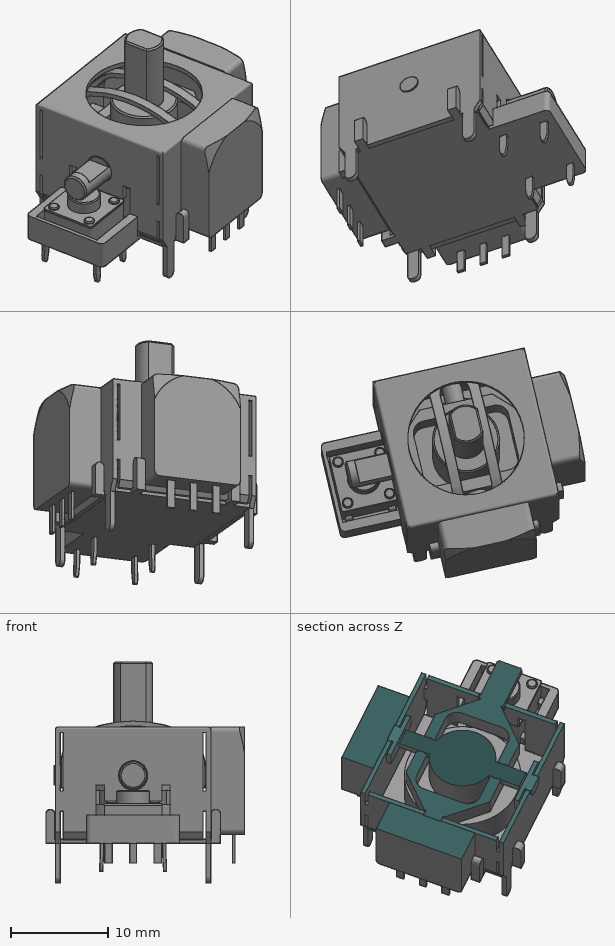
import cadquery as cq
import math


half = 8.0
wall = 0.5
inner = half - wall
shell_top = 12.0
axis_z = 7.0
floor_t = 0.45

edge_round = 0.27
opening_d = 12.0
relief_low, relief_high = 7.2, inner
upper_slit = (5.4, 11.4)
lower_slit = (0.0, 3.3)
bevel_z = 1.15
leg_y_out, leg_w = 7.3, 1.27
leg_bottom = -4.1
window_half = 3.8
window_top = 4.36
notch_top = 6.02
tab_half = 2.96

boss_d, boss_top = 12.0, 4.0
clip_gap = 0.05
clip_in, clip_out = half + clip_gap, 9.0
clip_near, clip_far = 4.8, 5.75
clip_top = 3.5
tray_half, tray_end, tray_top = 4.8, 14.3, 2.9
tray_corner = 0.5
tray_end_wall = 0.4
sensor_half = 4.8
sensor_end = 11.5
sensor_bottom = 0.9
sensor_round = 0.55
sensor_cone_d, sensor_face_d = 13.0, 10.5
sensor_cone_depth = 0.47
pin_w, middle_pin_w = 0.8, 0.72
pin_t, pin_pitch = 0.27, 2.53
pin_x, pin_bottom = 10.23, -2.03

stick_top, stick_d, stick_flat = 18.7, 4.0, 3.0
stick_chamfer = 0.17
collar_d, collar_top = 6.9, 11.3
collar_chamfer = 0.17
cross_pin_d, cross_pin_half = 1.98, 6.75

arch_half_y, arch_slot_half_y = 2.6, 1.55
arch_t = 0.5
arch_crown_z, arch_crown_r, arch_crown_x = 12.6, 13.5, 4.8
arch_end_x, arch_shoulder_z, arch_bottom = 7.4, 8.4, 5.73
arch_slot_x, arch_slot_round = 6.45, 1.4
stub_d, stub_proud = 2.0, 0.15

rocker_x, rocker_y = 4.72, 7.4
rocker_bottom, rocker_top = 5.45, 8.55
rocker_corner = 3.56
rocker_slot = (7.0, 10.04)
rocker_slot_round = 1.3
arm_d, arm_hole_d = 2.8, 3.0
arm_end, arm_chamfer = 12.5, 0.17
arm_flat_z, arm_flat_y, arm_head_y = 7.71, 8.07, 11.52

switch_y = -10.8
switch_size, switch_body_top, switch_plate_top = 6.0, 3.9, 4.13
plate_lip = 0.03
switch_corner = 0.18
rivet_offset, rivet_d, rivet_top, rivet_chamfer = 2.22, 1.1, 4.35, 0.12
button_d, button_top, button_chamfer = 3.4, 5.45, 0.12
lead_in, lead_t, lead_w = 3.05, 0.35, 0.76
lead_y = 2.3
lead_top, lead_bottom = 1.5, -2.9
lead_kink, lead_kink_z = 0.06, (-1.4, -2.5)
lead_tip_w, lead_tip_z = 0.5, -2.7
lead_taper_z = -2.0


def block(x0, x1, y0, y1, z0, z1):
    """Axis-aligned box between the given limits."""
    return cq.Workplane("XY").box(x1 - x0, y1 - y0, z1 - z0, centered=False).translate((x0, y0, z0))


def x_rod(diameter, x0, x1):
    """Cylinder on the axis y = 0, z = axis_z."""
    return cq.Workplane("YZ", origin=(x0, 0, axis_z)).circle(diameter / 2).extrude(x1 - x0)


def y_rod(diameter, y0, y1):
    """Cylinder on the axis x = 0, z = axis_z."""
    return cq.Workplane("XZ", origin=(0, y1, axis_z)).circle(diameter / 2).extrude(y1 - y0)


def z_rod(diameter, z0, z1):
    return cq.Workplane("XY").workplane(offset=z0).circle(diameter / 2).extrude(z1 - z0)


def quarter_turn(body):
    """Turns a feature of the +X side onto the +Y side."""
    return body.rotate((0, 0, 0), (0, 0, 1), 90)


def clip(side):
    """Upright clip with a rounded top and a foot that reaches the base plate, on the +X side."""
    near, far = sorted((side * clip_near, side * clip_far))
    radius = (clip_out - clip_in) / 2
    side_z = clip_top - radius
    bulge = radius * math.sqrt(0.5)
    mid = clip_in + radius
    upright = (
        cq.Workplane("XZ", origin=(0, far, 0))
        .moveTo(clip_in, 0)
        .lineTo(clip_out, 0)
        .lineTo(clip_out, side_z)
        .threePointArc((mid + bulge, side_z + bulge), (mid, clip_top))
        .threePointArc((mid - bulge, side_z + bulge), (clip_in, side_z))
        .close()
        .extrude(far - near)
    )
    return upright.union(block(inner, clip_in, near, far, 0, floor_t))


def side_clips():
    """The six clips: two on each of the -X, +X and +Y sides."""
    pair = clip(1).union(clip(-1))
    return pair.union(pair.mirror("YZ")).union(quarter_turn(pair))


def make_shell():
    shell = block(-half, half, -half, half, 0, shell_top)
    shell = shell.faces(">Z").edges().fillet(edge_round)
    shell = shell.cut(block(-inner, inner, -inner, inner, 0, shell_top - wall))
    shell = shell.cut(z_rod(opening_d, 0, shell_top))

    for z0, z1 in (upper_slit, lower_slit):
        slit = block(relief_low, relief_high, -half, half, z0, z1)
        shell = shell.cut(slit).cut(slit.mirror("YZ"))

    bevel = (
        cq.Workplane("YZ", origin=(-half, 0, 0))
        .polyline([(half, 0), (half, bevel_z), (leg_y_out, 0)])
        .close()
        .extrude(2 * half)
    )
    shell = shell.cut(bevel).cut(bevel.mirror("XZ"))

    shell = shell.cut(block(-window_half, window_half, -half, -inner, 0, window_top))
    notch = block(tab_half, window_half, -half, -inner, 0, notch_top)
    shell = shell.cut(notch).cut(notch.mirror("YZ"))
    shell = shell.cut(block(-tray_half, tray_half, -half, -inner, 0, floor_t))
    shell = shell.cut(side_clips())

    shell = shell.cut(x_rod(stub_d, -half, half))
    shell = shell.cut(y_rod(arm_hole_d, -half, 0))
    shell = shell.cut(y_rod(stub_d, 0, half))

    tip_z = leg_bottom + leg_w / 2
    leg_y_in = leg_y_out - leg_w
    leg = (
        cq.Workplane("YZ", origin=(inner, 0, 0))
        .moveTo(leg_y_in, floor_t)
        .lineTo(leg_y_in, tip_z)
        .threePointArc((leg_y_out - leg_w / 2, leg_bottom), (leg_y_out, tip_z))
        .lineTo(leg_y_out, 0)
        .lineTo(leg_y_out - wall, floor_t)
        .close()
        .extrude(wall)
    )
    legs = leg.union(leg.mirror("XZ"))
    return shell.union(legs).union(legs.mirror("YZ"))


def sensor():
    """Rotary sensor with its three pins, on the +X side."""
    case = block(half, sensor_end, -sensor_half, sensor_half, sensor_bottom, shell_top)
    case = case.edges("|X").fillet(sensor_round)
    cone_slope = (sensor_cone_d - sensor_face_d) / 2 / sensor_cone_depth
    wide_r = sensor_face_d / 2 + cone_slope * (sensor_end - half)
    cone = (
        cq.Workplane("XZ", origin=(half, 0, axis_z))
        .polyline([(0, 0), (0, wide_r), (sensor_end - half, sensor_face_d / 2), (sensor_end - half, 0)])
        .close()
        .revolve(360, (0, 0, 0), (1, 0, 0))
    )
    lower = block(half, sensor_end, -sensor_half, sensor_half, sensor_bottom, axis_z)
    case = case.intersect(cone.union(lower))
    for row, width in ((-1, pin_w), (0, middle_pin_w), (1, pin_w)):
        y = row * pin_pitch
        case = case.union(
            block(pin_x, pin_x + pin_t, y - width / 2, y + width / 2, pin_bottom, axis_z)
        )
    return case


def make_base():
    base = block(-inner, inner, -inner, inner, 0, floor_t)
    base = base.union(z_rod(boss_d, 0, boss_top))

    tray = block(-tray_half, tray_half, -tray_end, -half, 0, tray_top)
    tray = tray.edges("|Z and <Y").fillet(tray_corner)
    tray = tray.cut(
        block(-window_half, window_half, tray_end_wall - tray_end, -half, floor_t, tray_top)
    )
    neck = block(-tray_half, tray_half, -half, -inner, 0, floor_t)
    base = base.union(tray).union(neck).union(side_clips())
    base = base.union(sensor()).union(quarter_turn(sensor()))
    return base.cut(switch_leads())


def make_stick():
    shaft = z_rod(stick_d, collar_top, stick_top)
    shaft = shaft.intersect(
        block(-stick_d, stick_d, -stick_flat / 2, stick_flat / 2, collar_top, stick_top)
    )
    shaft = shaft.faces(">Z").chamfer(stick_chamfer)
    collar = z_rod(collar_d, boss_top, collar_top).faces(">Z").chamfer(collar_chamfer)
    return collar.union(shaft).union(x_rod(cross_pin_d, -cross_pin_half, cross_pin_half))


def arch_outline(offset):
    """Solid under the arch, moved inwards by the offset."""
    crown_z = arch_crown_z - offset
    crown_r = arch_crown_r - offset
    end_x = arch_end_x - offset
    drop = crown_r - math.sqrt(crown_r**2 - arch_crown_x**2)
    return (
        cq.Workplane("XZ", origin=(0, arch_half_y, 0))
        .moveTo(-arch_crown_x, crown_z - drop)
        .threePointArc((0, crown_z), (arch_crown_x, crown_z - drop))
        .tangentArcPoint((end_x, arch_shoulder_z), relative=False)
        .lineTo(end_x, arch_bottom)
        .lineTo(-end_x, arch_bottom)
        .lineTo(-end_x, arch_shoulder_z)
        .tangentArcPoint((-arch_crown_x, crown_z - drop), relative=False)
        .close()
        .extrude(2 * arch_half_y)
    )


def make_arch():
    arch = arch_outline(0).cut(arch_outline(arch_t))
    slot = block(
        -arch_slot_x, arch_slot_x, -arch_slot_half_y, arch_slot_half_y, axis_z, arch_crown_z
    )
    arch = arch.cut(slot.edges("|Z").fillet(arch_slot_round))
    plate_x = arch_end_x - arch_t
    arch = arch.union(x_rod(stub_d, -half - stub_proud, -plate_x))
    return arch.union(x_rod(stub_d, plate_x, half))


def make_lower_rocker():
    plate = block(-rocker_x, rocker_x, -rocker_y, rocker_y, rocker_bottom, rocker_top)
    plate = plate.edges("|Z").chamfer(rocker_corner)
    slot = (
        cq.Workplane("XY")
        .workplane(offset=rocker_bottom)
        .rect(*rocker_slot)
        .extrude(rocker_top - rocker_bottom)
        .edges("|Z")
        .fillet(rocker_slot_round)
    )
    plate = plate.cut(slot).cut(x_rod(stub_d, -rocker_x, rocker_x))

    arm = y_rod(arm_d, -arm_end, -rocker_y).faces("<Y").chamfer(arm_chamfer)
    arm = arm.cut(block(-arm_d, arm_d, -arm_head_y, -arm_flat_y, arm_flat_z, axis_z + arm_d))
    return plate.union(arm).union(y_rod(stub_d, rocker_y, half))


def switch_leads():
    """Four flat leads with a small outward kink and tapered, rounded tips."""
    out = lead_in + lead_t
    kink_start, kink_end = lead_kink_z
    straight_down, straight_up = (0, -1), (0, 1)
    lead = (
        cq.Workplane("XZ", origin=(0, lead_w / 2, 0))
        .moveTo(0, lead_top)
        .lineTo(lead_in, lead_top)
        .radiusArc((out, lead_top - lead_t), lead_t)
        .lineTo(out, kink_start)
        .spline(
            [(out + lead_kink, kink_end)],
            tangents=[straight_down, straight_down],
            includeCurrent=True,
        )
        .lineTo(out + lead_kink, lead_bottom)
        .lineTo(lead_in + lead_kink, lead_bottom)
        .lineTo(lead_in + lead_kink, kink_end)
        .spline([(lead_in, kink_start)], tangents=[straight_up, straight_up], includeCurrent=True)
        .lineTo(lead_in, lead_top - lead_t)
        .lineTo(0, lead_top - lead_t)
        .close()
        .extrude(lead_w)
    )
    front_shape = (
        cq.Workplane("YZ")
        .moveTo(-lead_w / 2, lead_top)
        .lineTo(-lead_w / 2, lead_taper_z)
        .lineTo(-lead_tip_w / 2, lead_tip_z)
        .threePointArc((0, lead_bottom), (lead_tip_w / 2, lead_tip_z))
        .lineTo(lead_w / 2, lead_taper_z)
        .lineTo(lead_w / 2, lead_top)
        .close()
        .extrude(2 * out)
    )
    lead = lead.intersect(front_shape)
    pair = lead.union(lead.mirror("YZ"))
    return pair.translate((0, switch_y - lead_y, 0)).union(pair.translate((0, switch_y + lead_y, 0)))


def make_switch():
    side = switch_size / 2
    body_side = side - plate_lip
    switch = block(-body_side, body_side, -body_side, body_side, floor_t, switch_body_top)
    switch = switch.edges("|Z").fillet(switch_corner)
    plate = block(-side, side, -side, side, switch_body_top, switch_plate_top)
    plate = plate.edges("|Z").fillet(switch_corner)
    switch = switch.union(plate)
    rivet = z_rod(rivet_d, switch_body_top, rivet_top).faces(">Z").chamfer(rivet_chamfer)
    for x in (-rivet_offset, rivet_offset):
        for y in (-rivet_offset, rivet_offset):
            switch = switch.union(rivet.translate((x, y, 0)))
    button = z_rod(button_d, switch_body_top, button_top).faces(">Z").chamfer(button_chamfer)
    return switch.union(button).translate((0, switch_y, 0)).union(switch_leads())


shell = make_shell()
base = make_base()
stick = make_stick()
arch = make_arch()
lower_rocker = make_lower_rocker()
switch = make_switch()

result = cq.Compound.makeCompound(
    [shell.val(), base.val(), stick.val(), arch.val(), lower_rocker.val(), switch.val()]
)